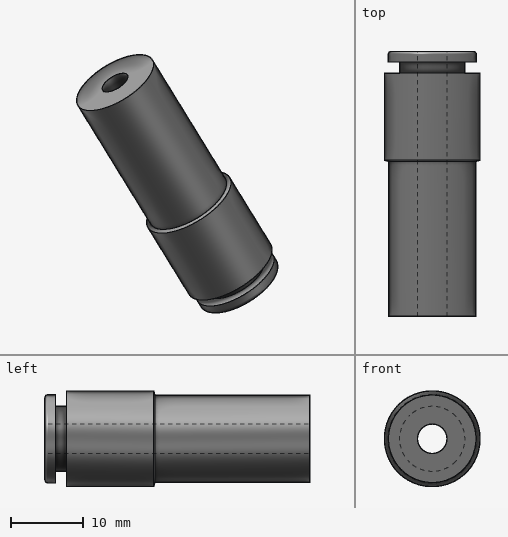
import cadquery as cq

total_length = 36.5
stem_length = 21.3
body_length = 12.2
neck_length = 1.5
collar_length = total_length - stem_length - body_length - neck_length

stem_diameter = 12.05
body_diameter = 13.2
neck_diameter = 8.98
collar_diameter = 12.2
bore_diameter = 4.0

shoulder_cone_length = 0.2
collar_fillet = 0.47


def cylinder(diameter, start, length):
    """Solid cylinder along +Y, beginning at Y = start."""
    plane = cq.Workplane("XZ", origin=(0, start, 0))
    return plane.circle(diameter / 2).extrude(-length)


stem_start = -total_length / 2
body_start = stem_start + stem_length
neck_start = body_start + body_length
collar_start = neck_start + neck_length

stem = cylinder(stem_diameter, stem_start, stem_length)
shoulder = cq.Workplane("XY").add(
    cq.Solid.makeCone(
        stem_diameter / 2,
        body_diameter / 2,
        shoulder_cone_length,
        pnt=cq.Vector(0, body_start, 0),
        dir=cq.Vector(0, 1, 0),
    )
)
body = cylinder(body_diameter, body_start + shoulder_cone_length, body_length - shoulder_cone_length)
neck = cylinder(neck_diameter, neck_start, neck_length)
collar = cylinder(collar_diameter, collar_start, collar_length).faces(">Y").edges().fillet(collar_fillet)

bore = cylinder(bore_diameter, stem_start, total_length)

result = stem.union(shoulder).union(body).union(neck).union(collar).cut(bore)